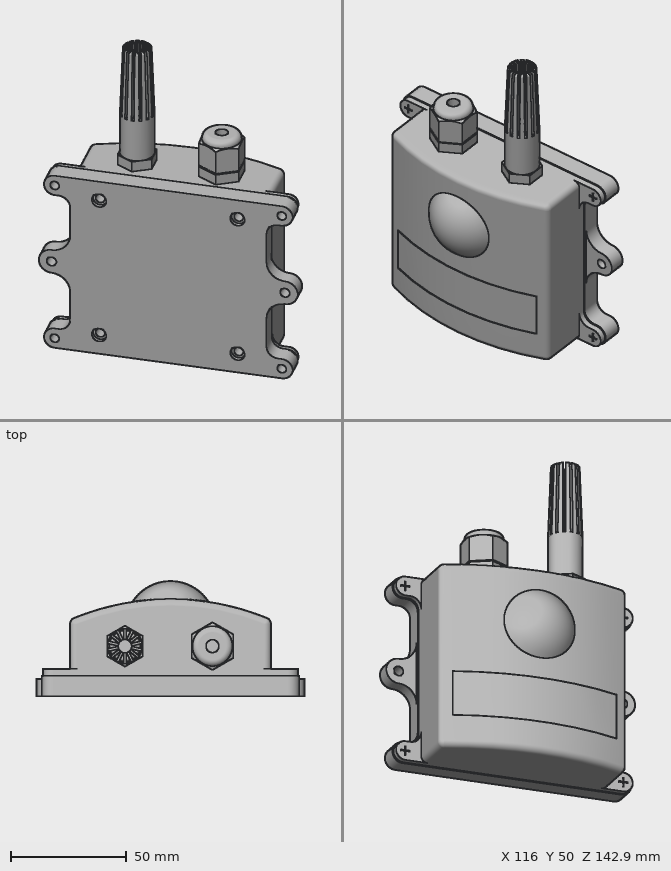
import cadquery as cq
import math


base_height = 86.0
base_half_width = 44.0
base_thickness = 8.9
corner_ear_x = 50.9
corner_ear_radius = 4.9
corner_fillet = 5.1
screw_hole_diameter = 4.0

wall_ear_x = 52.3
wall_ear_radius = 5.7
wall_ear_thickness = 7.6
wall_hole_diameter = 4.3

boss_hole_x = 31.0
boss_hole_z = 33.6
boss_hole_diameter = 4.1
boss_recess_diameter = 6.5
boss_recess_depth = 2.0

cover_inset = 0.5
flange_thickness = 3.0
cover_half_width = base_half_width - cover_inset
cover_half_height = base_height / 2 - cover_inset
cover_peak_y = 42.2
cover_arch_radius = 110.0
cover_edge_fillet = 2.9
cross_slot_width = 0.5

label_bottom_z = -28.2
label_top_z = -7.9
label_half_width = 38.2
label_depth = 0.3

dome_radius = 19.6
dome_apex_y = 50.0
dome_z = 17.0

fitting_y = 21.7
fitting_base_z = cover_half_height

probe_x = -19.7
overall_height = 142.9
probe_top_z = overall_height - base_height / 2
probe_hex_flats = 15.3
probe_hex_height = 4.9
probe_diameter = 15.1
probe_tip_diameter = 12.6
probe_tip_fillet = 0.9
probe_cage_length = 32.7
probe_bore_diameter = 5.9
probe_slot_count = 14
probe_slot_width = 1.1

gland_x = 18.1
gland_hex_flats = 17.9
gland_body_height = 4.9
gland_groove_height = 0.5
gland_groove_depth = 0.6
gland_nut_height = 12.0
gland_cap_diameter = 17.3
gland_cap_height = 3.1
gland_cap_fillet = 2.6
gland_chamfer_height = 1.0
gland_bore_diameter = 5.6
gland_bore_depth = 14.3


def plane_at(y):
    """XZ plane at the given Y; a negative extrusion from it runs toward +Y."""
    return cq.Workplane("XZ", origin=(0, y, 0))


def four_corners(x, z):
    return [(sx * x, sz * z) for sx in (-1, 1) for sz in (-1, 1)]


def corner_ear_plate(y, thickness, inset):
    """Plate with a round ear at each corner, its whole outline moved in by the inset."""
    half_height = base_height / 2 - inset
    half_width = base_half_width - inset
    ear_radius = corner_ear_radius - inset
    ear_z = half_height - ear_radius
    ear_edge_z = ear_z - ear_radius
    mid_arc = corner_fillet * (1 - math.sqrt(0.5))
    quarter = (
        plane_at(y)
        .moveTo(0, half_height)
        .lineTo(corner_ear_x, half_height)
        .threePointArc((corner_ear_x + ear_radius, ear_z), (corner_ear_x, ear_edge_z))
        .lineTo(half_width + corner_fillet, ear_edge_z)
        .threePointArc(
            (half_width + mid_arc, ear_edge_z - mid_arc),
            (half_width, ear_edge_z - corner_fillet),
        )
        .lineTo(half_width, 0)
    )
    return quarter.mirrorX().mirrorY().extrude(-thickness)


def wall_ears():
    """Thinner mounting ears at mid-height, blended into the sides by S-curves."""
    blend = wall_ear_x - base_half_width
    root_z = wall_ear_radius + blend
    mid_arc = blend * (1 - math.sqrt(0.5))
    ears = (
        plane_at(0)
        .moveTo(0, root_z)
        .lineTo(base_half_width, root_z)
        .threePointArc(
            (base_half_width + mid_arc, wall_ear_radius + mid_arc),
            (wall_ear_x, wall_ear_radius),
        )
        .threePointArc((wall_ear_x + wall_ear_radius, 0), (wall_ear_x, -wall_ear_radius))
        .threePointArc(
            (base_half_width + mid_arc, -wall_ear_radius - mid_arc),
            (base_half_width, -root_z),
        )
        .lineTo(0, -root_z)
        .mirrorY()
        .extrude(-wall_ear_thickness)
    )
    holes = (
        plane_at(0)
        .pushPoints([(-wall_ear_x, 0), (wall_ear_x, 0)])
        .circle(wall_hole_diameter / 2)
        .extrude(-wall_ear_thickness)
    )
    return ears.cut(holes)


def corner_points():
    return four_corners(corner_ear_x, base_height / 2 - corner_ear_radius)


def make_base():
    """Plate with six ears, a screw hole in each corner ear and four counterbored holes."""
    screw_holes = (
        plane_at(0)
        .pushPoints(corner_points())
        .circle(screw_hole_diameter / 2)
        .extrude(-base_thickness)
    )
    boss_points = four_corners(boss_hole_x, boss_hole_z)
    boss_holes = (
        plane_at(0).pushPoints(boss_points).circle(boss_hole_diameter / 2).extrude(-base_thickness)
    )
    boss_recesses = (
        plane_at(0).pushPoints(boss_points).circle(boss_recess_diameter / 2).extrude(-boss_recess_depth)
    )
    plate = corner_ear_plate(0, base_thickness, 0).union(wall_ears())
    return plate.cut(screw_holes).cut(boss_holes).cut(boss_recesses)


def arched_block(bottom_z, top_z, half_width, peak_y):
    """Block on top of the base, arched concentrically with the cover's outer face."""
    arch_centre_y = cover_peak_y - cover_arch_radius
    arch_radius = peak_y - arch_centre_y
    shoulder_y = arch_centre_y + math.sqrt(arch_radius**2 - half_width**2)
    return (
        cq.Workplane("XY", origin=(0, 0, bottom_z))
        .moveTo(-half_width, base_thickness)
        .lineTo(-half_width, shoulder_y)
        .threePointArc((0, peak_y), (half_width, shoulder_y))
        .lineTo(half_width, base_thickness)
        .close()
        .extrude(top_z - bottom_z)
    )


def label_recess():
    """Shallow rectangular recess that follows the arched face below the dome."""
    above = arched_block(label_bottom_z, label_top_z, label_half_width, cover_peak_y + label_depth)
    below = arched_block(label_bottom_z, label_top_z, label_half_width, cover_peak_y - label_depth)
    return above.cut(below)


def cross_slots():
    """Cross-shaped slots through the flange, one in each corner ear."""
    points = corner_points()
    start = plane_at(base_thickness)
    slot_length = screw_hole_diameter
    upright = start.pushPoints(points).rect(cross_slot_width, slot_length).extrude(-flange_thickness)
    level = start.pushPoints(points).rect(slot_length, cross_slot_width).extrude(-flange_thickness)
    return upright.union(level)


def make_cover():
    """Rounded block with an arched face, on a flange that follows the corner ears."""
    block = arched_block(-cover_half_height, cover_half_height, cover_half_width, cover_peak_y)
    block = block.edges("not <Y").fillet(cover_edge_fillet)
    flange = corner_ear_plate(base_thickness, flange_thickness, cover_inset)
    return block.union(flange).cut(cross_slots()).cut(label_recess())


def make_dome():
    """Part of a sphere that stands out of the cover's arched face."""
    sphere = cq.Workplane("XY", origin=(0, dome_apex_y - dome_radius, dome_z)).sphere(dome_radius)
    inside = arched_block(-cover_half_height, cover_half_height, cover_half_width, cover_peak_y)
    return sphere.cut(inside)


def hexagon(x, z, flats, height):
    """Hexagonal prism standing on Z, with flats facing -X and +X."""
    return (
        cq.Workplane("XY", origin=(x, fitting_y, z))
        .transformed(rotate=(0, 0, 90))
        .polygon(6, flats / math.cos(math.pi / 6))
        .extrude(height)
    )


def cylinder(x, z, diameter, height):
    """Upright cylinder on the axis of a fitting, standing on Z."""
    return cq.Workplane("XY", origin=(x, fitting_y, z)).circle(diameter / 2).extrude(height)


def make_probe():
    """Hexagonal foot, round barrel and a tapered slotted cage, with a bore down to the foot."""
    cage_z = probe_top_z - probe_cage_length
    barrel_z = fitting_base_z + probe_hex_height
    barrel = cylinder(probe_x, barrel_z, probe_diameter, cage_z - barrel_z)
    cage = (
        cq.Workplane("XY", origin=(probe_x, fitting_y, cage_z))
        .circle(probe_diameter / 2)
        .workplane(offset=probe_cage_length)
        .circle(probe_tip_diameter / 2)
        .loft()
        .faces(">Z")
        .edges()
        .fillet(probe_tip_fillet)
    )
    for index in range(probe_slot_count // 2):
        slot_pair = (
            cq.Workplane("XY", origin=(probe_x, fitting_y, cage_z))
            .transformed(rotate=(0, 0, index * 360 / probe_slot_count))
            .rect(probe_slot_width, probe_diameter)
            .extrude(probe_cage_length)
        )
        cage = cage.cut(slot_pair)
    solid = hexagon(probe_x, fitting_base_z, probe_hex_flats, probe_hex_height).union(barrel).union(cage)
    return solid.cut(cylinder(probe_x, barrel_z, probe_bore_diameter, probe_top_z - barrel_z))


def make_gland():
    """Hexagonal body and nut with a thin groove between them, under a rounded cap with a bore."""
    groove_z = fitting_base_z + gland_body_height
    nut_z = groove_z + gland_groove_height
    cap_z = nut_z + gland_nut_height
    body = hexagon(gland_x, fitting_base_z, gland_hex_flats, gland_body_height)
    groove = hexagon(gland_x, groove_z, gland_hex_flats - 2 * gland_groove_depth, gland_groove_height)
    nut = hexagon(gland_x, nut_z, gland_hex_flats, gland_nut_height)
    corner_radius = gland_hex_flats / 2 / math.cos(math.pi / 6)
    trim = (
        cylinder(gland_x, nut_z, 2 * corner_radius, gland_nut_height)
        .faces(">Z")
        .chamfer(gland_chamfer_height, corner_radius - gland_cap_diameter / 2)
    )
    cap = (
        cylinder(gland_x, cap_z, gland_cap_diameter, gland_cap_height)
        .faces(">Z")
        .edges()
        .fillet(gland_cap_fillet)
    )
    hole_z = cap_z + gland_cap_height - gland_bore_depth
    solid = body.union(groove).union(nut.intersect(trim)).union(cap)
    return solid.cut(cylinder(gland_x, hole_z, gland_bore_diameter, gland_bore_depth))


base = make_base()
cover = make_cover()
dome = make_dome()
probe = make_probe()
gland = make_gland()

result = cq.Compound.makeCompound([base.val(), cover.val(), dome.val(), probe.val(), gland.val()])